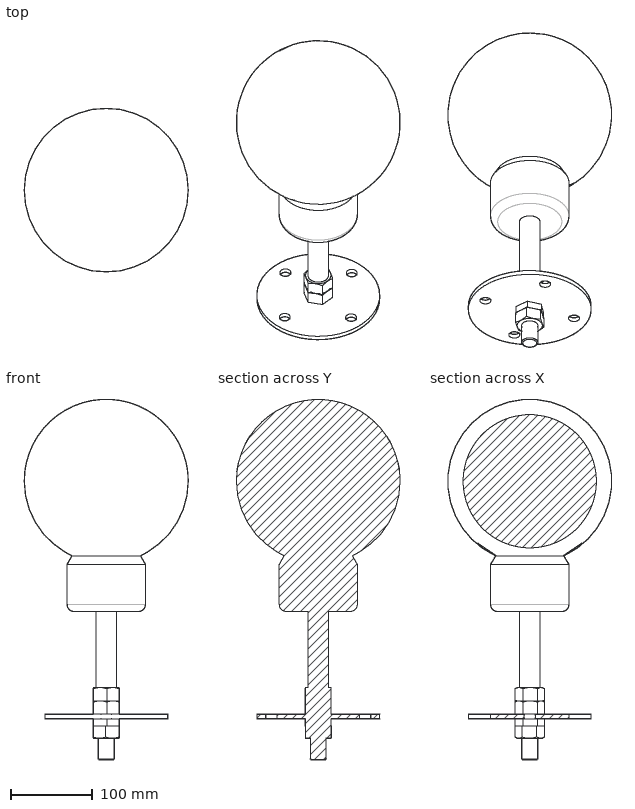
import cadquery as cq
import math

total_height = 440.0
ball_diameter = 200.0
ball_radius = ball_diameter / 2
ball_center_z = total_height - ball_radius
collar_radius = 48.0
collar_bottom_z = 181.0
collar_shoulder_z = 238.5
collar_fillet = 9.0
collar_taper_angle = 30.0
collar_taper_height = 17.5

rod_diameter = 25.0
rod_radius = rod_diameter / 2
stud_diameter = 20.0
stud_radius = stud_diameter / 2
stud_chamfer = 1.5

plate_diameter = 150.0
plate_radius = plate_diameter / 2
plate_bottom_z = 50.0
plate_thickness = 5.5
plate_top_z = plate_bottom_z + plate_thickness
hole_diameter = 13.0
hole_circle_radius = 57.0
hole_count = 4


nut_across_flats = 31.2
nut_corner_radius = nut_across_flats / math.sqrt(3)
nut_end_radius = 15.5
nut_chamfer_angle = 30.0
upper_nut_height = 16.5
lower_nut_height = 15.0
spacer_height = 9.0
upper_nut_count = 2
hex_sides = 6
nut_turn = 2.0


def cylinder(radius, bottom_z, top_z):
    return cq.Workplane("XY").workplane(offset=bottom_z).circle(radius).extrude(top_z - bottom_z)


def hex_prism(height):
    """Hexagon with two flats facing -X and +X."""
    hexagon = cq.Workplane("XY").polygon(hex_sides, 2 * nut_corner_radius).extrude(height)
    return hexagon.rotate((0, 0, 0), (0, 0, 1), 180 / hex_sides)


def nut(height):
    """Hex nut standing on z = 0, corners chamfered at the top end."""
    chamfer_reach = nut_corner_radius - nut_end_radius
    chamfer_drop = chamfer_reach * math.tan(math.radians(nut_chamfer_angle))
    envelope = (
        cq.Workplane("XZ")
        .moveTo(0, 0)
        .lineTo(nut_corner_radius, 0)
        .lineTo(nut_corner_radius, height - chamfer_drop)
        .lineTo(nut_end_radius, height)
        .lineTo(0, height)
        .close()
        .revolve(360, (0, 0, 0), (0, 1, 0))
    )
    return hex_prism(height).intersect(envelope)


def turned(body, angle):
    return body.rotate((0, 0, 0), (0, 0, 1), angle)


def collar():
    """Cylinder with a rounded lower edge and a taper running up into the ball."""
    body = cylinder(collar_radius, collar_bottom_z, collar_shoulder_z)
    body = body.faces("<Z").edges().fillet(collar_fillet)
    taper_reach = collar_taper_height * math.tan(math.radians(collar_taper_angle))
    taper = cq.Workplane("XY").add(
        cq.Solid.makeCone(
            collar_radius,
            collar_radius - taper_reach,
            collar_taper_height,
            cq.Vector(0, 0, collar_shoulder_z),
        )
    )
    return body.union(taper)


def plate():
    """Round flange with holes on the X and Y axes."""
    disc = cylinder(plate_radius, plate_bottom_z, plate_top_z)
    return (
        disc.faces(">Z")
        .workplane()
        .polarArray(hole_circle_radius, 0, 360, hole_count)
        .hole(hole_diameter)
    )


ball = cq.Workplane("XY").sphere(ball_radius)
ball = ball.rotate((0, 0, 0), (0, 1, 0), 90).translate((0, 0, ball_center_z))

rod = cylinder(rod_radius, plate_top_z, collar_bottom_z)
stud = cylinder(stud_radius, 0, plate_bottom_z).faces("<Z").chamfer(stud_chamfer)

result = ball.union(collar()).union(rod).union(stud).union(plate())

for index in range(upper_nut_count):
    nut_z = plate_top_z + index * upper_nut_height
    result = result.union(turned(nut(upper_nut_height), nut_turn).translate((0, 0, nut_z)))

spacer_z = plate_bottom_z - spacer_height
result = result.union(turned(hex_prism(spacer_height), nut_turn).translate((0, 0, spacer_z)))
lower_nut = nut(lower_nut_height).rotate((0, 0, 0), (1, 0, 0), 180)
result = result.union(turned(lower_nut, -nut_turn).translate((0, 0, spacer_z)))